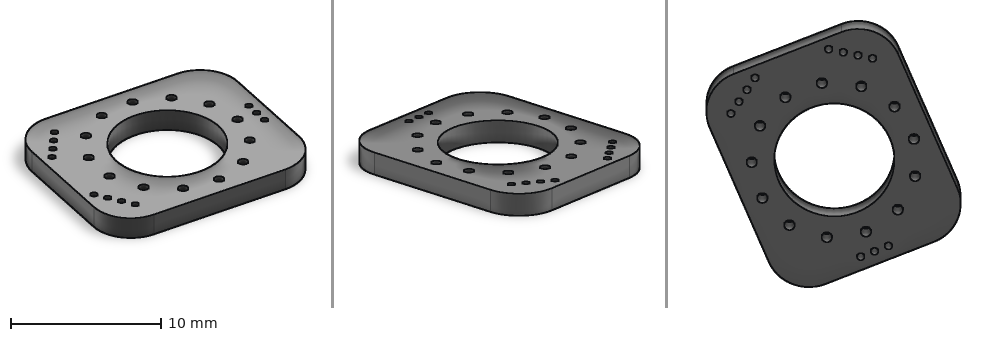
import cadquery as cq
import math

width = 13.6
length = 16.1
thickness = 1.6
corner_radius = 2.9

bore_diameter = 8.0
bore_center_y = 0.15
ring_hole_diameter = 0.7
ring_hole_count = 13
ring_radius = 5.5

pin_hole_diameter = 0.5
pin_pitch = 1.0
top_row_count = 3
top_row_y = 7.15
side_row_count = 4
side_row_center_x = 3.88
side_row_center_y = -6.39
side_row_angle = 35.0


def row_points(center_x, center_y, count, angle):
    """Evenly pitched points on a line through its center at the given angle."""
    direction_x = math.cos(math.radians(angle))
    direction_y = math.sin(math.radians(angle))
    offsets = [(i - (count - 1) / 2) * pin_pitch for i in range(count)]
    return [(center_x + s * direction_x, center_y + s * direction_y) for s in offsets]


def through_holes(points, diameter):
    """Cylinders that cut through the full plate thickness."""
    return cq.Workplane("XY").pushPoints(points).circle(diameter / 2).extrude(thickness)


plate = (
    cq.Workplane("XY")
    .rect(width, length)
    .extrude(thickness)
    .edges("|Z")
    .fillet(corner_radius)
)

bore = through_holes([(0, bore_center_y)], bore_diameter)

ring_points = []
for i in range(ring_hole_count):
    angle = 2 * math.pi * i / ring_hole_count
    ring_points.append(
        (ring_radius * math.sin(angle), bore_center_y + ring_radius * math.cos(angle))
    )
ring_holes = through_holes(ring_points, ring_hole_diameter)

pin_points = row_points(0, top_row_y, top_row_count, 0)
for side in (-1, 1):
    pin_points += row_points(
        side * side_row_center_x, side_row_center_y, side_row_count, side * side_row_angle
    )
pin_holes = through_holes(pin_points, pin_hole_diameter)

result = plate.cut(bore).cut(ring_holes).cut(pin_holes)